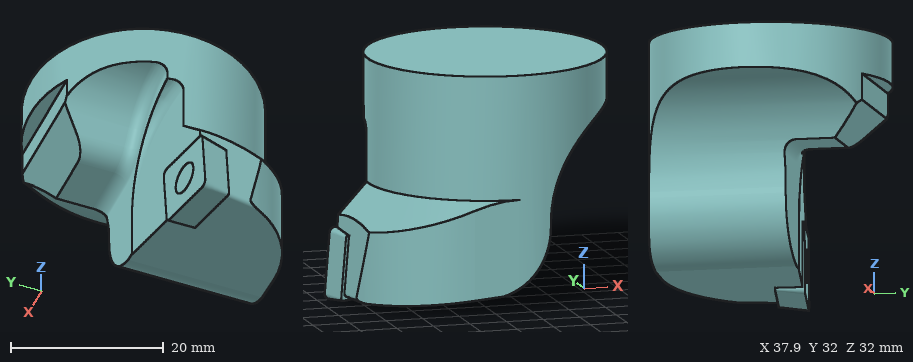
import cadquery as cq
import math

SHANK_DIA = 32.0
SHANK_R = SHANK_DIA / 2
SHANK_LENGTH = 16.65
BLANK_DEPTH = 37.87
REACH = 30.3

HEAD_ARC_X = -6.05
HEAD_ARC_R = 14.77
HEAD_ARC_SWEEP = 61.0

NECK_X = 4.5
SCOOP_R = 14.4
SCOOP_Z = -20.07
HEEL_R = 9.0
HEEL_Z = -20.83
HEEL_END_X = -2.1
UNDERSIDE_ANGLE = 5.0

WALL_Y = 3.03
POCKET_TOP_Z = -5.95
POCKET_R = 10.22
POCKET_ARC_X = -14.77
POCKET_SWEEP = 54.0
POCKET_FILLET = 1.65
BOSS_EDGE_R = 4.15
BOSS_BOTTOM_Z = -14.0
BOSS_BACK_Y = 14.0
BOSS_CHAMFER_Y = 9.95
BOSS_CHAMFER_Z = -9.43

RAKE_ANGLE = 9.5
RAKE_X = -21.85
RAKE_Y = 0.2
RAKE_SETBACK = 0.3
RELIEF_R = 14.4
RELIEF_U = 5.3
RELIEF_TOP_Z = -8.65
RELIEF_FILLET = 1.5
FLANK_U = 1.78
FLANK_Z = -20.75
CORNER_R = 0.55

INSERT_SIDE = 9.7
INSERT_ANGLE = 80.0
INSERT_THICKNESS = 3.98
INSERT_CLEARANCE = 7.0
INSERT_CORNER_R = 0.8
PIN_DIA = 4.4
INSERT_TIP_U = -0.1
INSERT_TIP_Z = -32.08


def cosd(angle):
    return math.cos(math.radians(angle))


def sind(angle):
    return math.sin(math.radians(angle))


def tand(angle):
    return math.tan(math.radians(angle))


def rake_plane(setback=0.0):
    """Local X runs along the rake, local Y is up, the normal points into the head."""
    return cq.Plane(
        origin=(RAKE_X + setback * sind(RAKE_ANGLE), RAKE_Y - setback * cosd(RAKE_ANGLE), 0),
        xDir=(cosd(RAKE_ANGLE), sind(RAKE_ANGLE), 0),
        normal=(sind(RAKE_ANGLE), -cosd(RAKE_ANGLE), 0),
    )


def make_blank():
    """Round shank, plus a head that flares from it and has a rounded outline."""
    shank = cq.Workplane("XY").circle(SHANK_R).extrude(-BLANK_DEPTH)
    flare_depth = BLANK_DEPTH - SHANK_LENGTH
    flare = (
        cq.Workplane("XZ")
        .moveTo(0, -SHANK_LENGTH)
        .lineTo(SHANK_R, -SHANK_LENGTH)
        .lineTo(SHANK_R + flare_depth, -BLANK_DEPTH)
        .lineTo(0, -BLANK_DEPTH)
        .close()
        .revolve(360, (0, 0, 0), (0, 1, 0))
    )
    arc_y = HEAD_ARC_R - SHANK_R
    half_sweep = HEAD_ARC_SWEEP / 2
    arc_end_x = HEAD_ARC_X - HEAD_ARC_R * sind(HEAD_ARC_SWEEP)
    arc_end_y = arc_y - HEAD_ARC_R * cosd(HEAD_ARC_SWEEP)
    straight_end_y = arc_end_y + (REACH + arc_end_x) * tand(HEAD_ARC_SWEEP)
    head_outline = (
        cq.Workplane("XY")
        .moveTo(0, -SHANK_R)
        .lineTo(HEAD_ARC_X, -SHANK_R)
        .threePointArc(
            (HEAD_ARC_X - HEAD_ARC_R * sind(half_sweep), arc_y - HEAD_ARC_R * cosd(half_sweep)),
            (arc_end_x, arc_end_y),
        )
        .lineTo(-REACH, straight_end_y)
        .lineTo(0, straight_end_y)
        .close()
        .extrude(-BLANK_DEPTH)
    )
    return shank.union(flare.intersect(head_outline))


def make_side_envelope():
    """Side outline with the scoop, the rounded heel and the sloped underside."""
    scoop_x = NECK_X + SCOOP_R
    scoop_top_z = SCOOP_Z + math.sqrt(SCOOP_R**2 - (scoop_x - SHANK_R) ** 2)
    heel_x = NECK_X - HEEL_R
    heel_end_angle = math.degrees(math.acos((HEEL_END_X - heel_x) / HEEL_R))
    heel_mid_angle = heel_end_angle / 2
    heel_end_z = HEEL_Z - HEEL_R * sind(heel_end_angle)
    underside_end_z = heel_end_z - (HEEL_END_X + REACH) * tand(UNDERSIDE_ANGLE)
    return (
        cq.Workplane("XZ")
        .moveTo(-REACH, 0)
        .lineTo(SHANK_R, 0)
        .lineTo(SHANK_R, scoop_top_z)
        .threePointArc(
            (scoop_x - SCOOP_R * cosd(45), SCOOP_Z + SCOOP_R * sind(45)),
            (NECK_X, SCOOP_Z),
        )
        .lineTo(NECK_X, HEEL_Z)
        .threePointArc(
            (heel_x + HEEL_R * cosd(heel_mid_angle), HEEL_Z - HEEL_R * sind(heel_mid_angle)),
            (HEEL_END_X, heel_end_z),
        )
        .lineTo(-REACH, underside_end_z)
        .close()
        .extrude(REACH, both=True)
    )


def make_pocket_cutter():
    """Curved-roof pocket behind the neck, filleted where it meets the flat wall."""
    center_z = POCKET_TOP_Z - POCKET_R
    half_sweep = POCKET_SWEEP / 2
    arc_end_x = POCKET_ARC_X + POCKET_R * sind(POCKET_SWEEP)
    arc_end_z = center_z + POCKET_R * cosd(POCKET_SWEEP)
    wall_end_x = arc_end_x + (arc_end_z - BOSS_BOTTOM_Z) / tand(POCKET_SWEEP)
    boss_edge = cq.selectors.NearestToPointSelector((wall_end_x, WALL_Y + REACH / 2, BOSS_BOTTOM_Z))
    return (
        cq.Workplane("XZ", origin=(0, WALL_Y, 0))
        .moveTo(-REACH, POCKET_TOP_Z)
        .lineTo(POCKET_ARC_X, POCKET_TOP_Z)
        .threePointArc(
            (POCKET_ARC_X + POCKET_R * sind(half_sweep), center_z + POCKET_R * cosd(half_sweep)),
            (arc_end_x, arc_end_z),
        )
        .lineTo(wall_end_x, BOSS_BOTTOM_Z)
        .lineTo(REACH, BOSS_BOTTOM_Z)
        .lineTo(REACH, -BLANK_DEPTH)
        .lineTo(-REACH, -BLANK_DEPTH)
        .close()
        .extrude(-REACH)
        .edges(boss_edge)
        .fillet(BOSS_EDGE_R)
        .faces("<Y")
        .edges()
        .fillet(POCKET_FILLET)
    )


def make_boss_trim():
    """Trims the back of the boss flat and bevels its lower edge."""
    return (
        cq.Workplane("YZ", origin=(-REACH, 0, 0))
        .moveTo(REACH, POCKET_TOP_Z)
        .lineTo(BOSS_BACK_Y, POCKET_TOP_Z)
        .lineTo(BOSS_BACK_Y, BOSS_CHAMFER_Z)
        .lineTo(BOSS_CHAMFER_Y, BOSS_BOTTOM_Z)
        .lineTo(REACH, BOSS_BOTTOM_Z)
        .close()
        .extrude(2 * REACH)
    )


def make_rake_cutter():
    """Clears the space above the rake face, with a rounded and filleted upper end."""
    center_z = RELIEF_TOP_Z - RELIEF_R
    return (
        cq.Workplane(rake_plane(RAKE_SETBACK))
        .moveTo(-REACH, RELIEF_TOP_Z)
        .lineTo(RELIEF_U, RELIEF_TOP_Z)
        .threePointArc(
            (RELIEF_U + RELIEF_R * sind(45), center_z + RELIEF_R * cosd(45)),
            (RELIEF_U + RELIEF_R, center_z),
        )
        .lineTo(RELIEF_U + RELIEF_R, -BLANK_DEPTH)
        .lineTo(-REACH, -BLANK_DEPTH)
        .close()
        .extrude(-REACH)
        .faces(cq.selectors.DirectionMinMaxSelector(rake_plane().zDir, True))
        .edges()
        .fillet(RELIEF_FILLET)
    )


def make_flank_cutter():
    """Flat flank of the head, square to the rake face and leaning with the insert."""
    lean = tand(UNDERSIDE_ANGLE)
    top_u = FLANK_U + (-SHANK_LENGTH - FLANK_Z) * lean
    bottom_u = FLANK_U - (FLANK_Z + BLANK_DEPTH) * lean
    return (
        cq.Workplane(rake_plane())
        .moveTo(top_u, -SHANK_LENGTH)
        .lineTo(bottom_u, -BLANK_DEPTH)
        .lineTo(-2 * REACH, -BLANK_DEPTH)
        .lineTo(-2 * REACH, -SHANK_LENGTH)
        .close()
        .extrude(2 * REACH, both=True)
    )


def make_rounded_envelope():
    """Side envelope with the flank cut and its lower corner rounded."""
    lower_corner = cq.selectors.NearestToPointSelector((RAKE_X, RAKE_Y, INSERT_TIP_Z))
    return make_side_envelope().cut(make_flank_cutter()).edges(lower_corner).fillet(CORNER_R)


def make_insert_blank():
    """Rhombic insert without its hole, tapering away from the rake face."""
    side_angle = UNDERSIDE_ANGLE + INSERT_ANGLE
    along_bottom = (INSERT_SIDE * cosd(UNDERSIDE_ANGLE), INSERT_SIDE * sind(UNDERSIDE_ANGLE))
    along_side = (INSERT_SIDE * cosd(side_angle), INSERT_SIDE * sind(side_angle))
    outline = (
        cq.Sketch()
        .polygon([
            (0, 0),
            along_bottom,
            (along_bottom[0] + along_side[0], along_bottom[1] + along_side[1]),
            along_side,
            (0, 0),
        ])
        .vertices()
        .fillet(INSERT_CORNER_R)
    )
    return (
        cq.Workplane(rake_plane())
        .center(INSERT_TIP_U, INSERT_TIP_Z)
        .placeSketch(outline)
        .extrude(INSERT_THICKNESS, taper=INSERT_CLEARANCE)
    )


def make_pin():
    """Round pin through the centre of the insert, flush with its top face."""
    side_angle = UNDERSIDE_ANGLE + INSERT_ANGLE
    center_u = INSERT_TIP_U + INSERT_SIDE * (cosd(UNDERSIDE_ANGLE) + cosd(side_angle)) / 2
    center_z = INSERT_TIP_Z + INSERT_SIDE * (sind(UNDERSIDE_ANGLE) + sind(side_angle)) / 2
    return (
        cq.Workplane(rake_plane())
        .center(center_u, center_z)
        .circle(PIN_DIA / 2)
        .extrude(INSERT_THICKNESS)
    )


def make_insert():
    """Insert with a through hole for the pin of the holder."""
    return make_insert_blank().cut(make_pin())


def make_holder():
    """Tool head with its pockets, the insert seat and the pin that stands in it."""
    return (
        make_blank()
        .intersect(make_rounded_envelope())
        .cut(make_pocket_cutter())
        .cut(make_boss_trim())
        .cut(make_rake_cutter())
        .cut(make_insert_blank())
        .union(make_pin())
    )


holder = make_holder()
insert = make_insert()
result = cq.Compound.makeCompound([holder.val(), insert.val()])